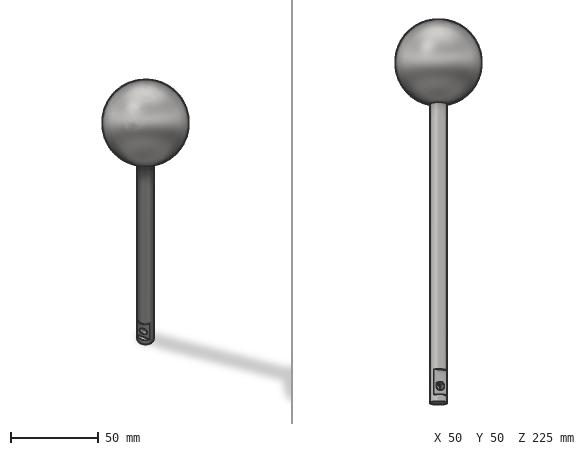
import cadquery as cq

total_height = 225.0
ball_diameter = 50.0
rod_diameter = 10.0

notch_bottom = 4.0
notch_top = 19.0
notch_depth = 2.0

hole_diameter = 5.0
hole_height = 9.5

ball_radius = ball_diameter / 2
rod_radius = rod_diameter / 2
ball_center_height = total_height - ball_radius


def make_ball():
    return cq.Workplane("XY").sphere(ball_radius, direct=(0, 1, 0)).translate((0, 0, ball_center_height))


def make_rod():
    return cq.Workplane("XY").circle(rod_radius).extrude(ball_center_height)


def make_notch():
    notch_height = notch_top - notch_bottom
    return (
        cq.Workplane("XY")
        .box(rod_diameter, notch_depth, notch_height, centered=(True, False, False))
        .translate((0, -rod_radius, notch_bottom))
    )


def make_cross_hole():
    return (
        cq.Workplane("XZ")
        .center(0, hole_height)
        .circle(hole_diameter / 2)
        .extrude(rod_radius, both=True)
    )


result = make_rod().union(make_ball()).cut(make_notch()).cut(make_cross_hole())